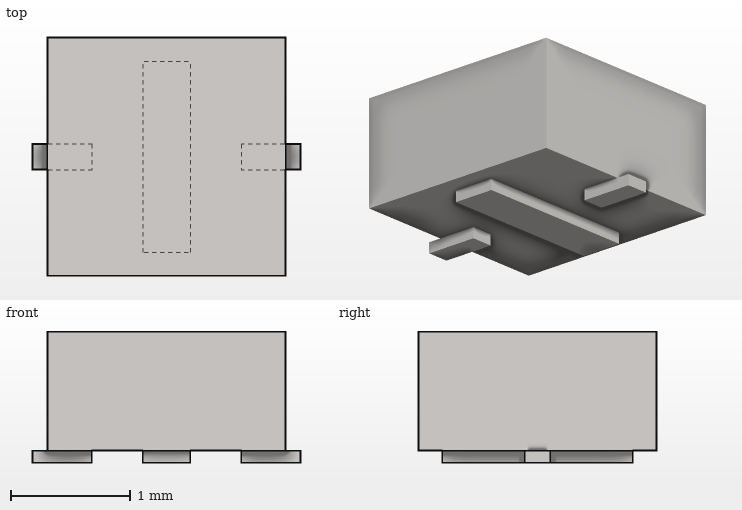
import cadquery as cq

body_side = 2.0
body_height = 1.0

metal_thickness = 0.101
lead_span = 2.25
lead_length = 0.5
lead_width = 0.215
pad_length_x = 0.4
pad_length_y = 1.6


def block(size_x, size_y, size_z, bottom_z, center_x=0):
    """A plain block centred on Y = 0, standing on the height bottom_z."""
    return (
        cq.Workplane("XY")
        .box(size_x, size_y, size_z, centered=(True, True, False))
        .translate((center_x, 0, bottom_z))
    )


def make_body():
    """Square package body resting on the metal."""
    return block(body_side, body_side, body_height, metal_thickness)


def make_center_pad():
    """Long pad under the middle of the body."""
    return block(pad_length_x, pad_length_y, metal_thickness, 0)


def make_lead(side):
    """Narrow lead reaching out past the body at the -X (-1) or +X (1) side."""
    center_x = side * (lead_span - lead_length) / 2
    return block(lead_length, lead_width, metal_thickness, 0, center_x)


body = make_body()
center_pad = make_center_pad()
leads = [make_lead(side) for side in (-1, 1)]

result = cq.Compound.makeCompound(
    [body.val(), center_pad.val(), *[lead.val() for lead in leads]]
)